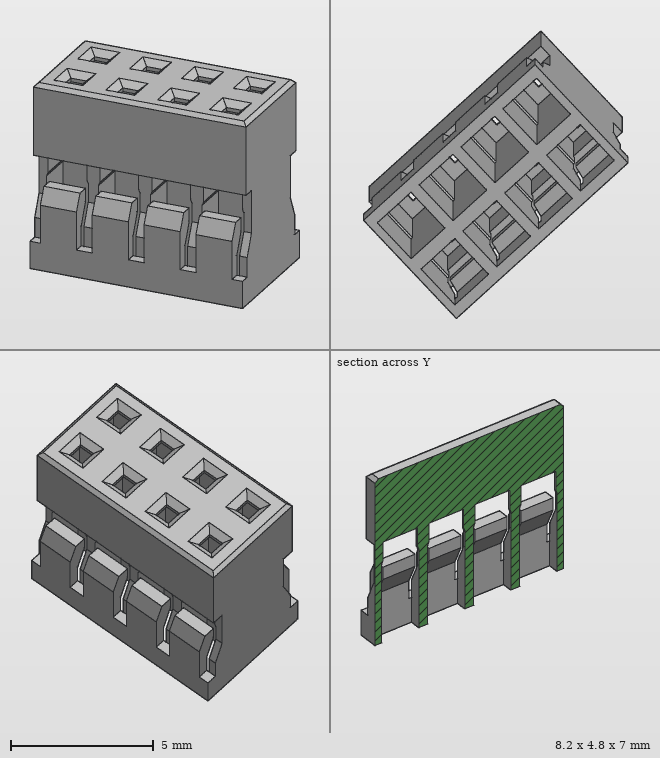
import cadquery as cq

length = 8.2
base_width = 4.8
height = 7.0

pitch = 2.0
columns = 4
rows = 2

base_height = 1.05
head_width = 4.2
head_bottom = 4.23
head_chamfer = 0.15
neck_width = 3.28
rib_width = 4.0
rib_slope_bottom = 1.8
rib_slope_top = 2.6

latch_length = 1.39
latch_slope_bottom = 2.51
latch_top = 3.12

cavity_length = 1.61
cavity_step = 0.06
cavity_step_bottom = 3.31
cavity_step_top = 3.44
cavity_roof = 6.64
cavity_head_outer = 1.57

entry_size = 0.59
entry_mouth = 1.11
entry_funnel_depth = 0.22

contact_xs = [(i - (columns - 1) / 2) * pitch for i in range(columns)]
row_ys = [(j - (rows - 1) / 2) * pitch for j in range(rows)]
sides = (-1, 1)


def extrude_along_x(points, extent):
    """Extrude a (y, z) outline along X, centred on the YZ plane."""
    return cq.Workplane("YZ").polyline(points).close().extrude(extent / 2, both=True)


def make_body():
    """Base, ribs and neck as one constant section, with the chamfered head on top."""
    half_outline = [
        (base_width / 2, 0),
        (base_width / 2, base_height),
        (rib_width / 2, base_height),
        (rib_width / 2, rib_slope_bottom),
        (neck_width / 2, rib_slope_top),
        (neck_width / 2, head_bottom),
    ]
    mirrored = [(-y, z) for y, z in reversed(half_outline)]
    lower = extrude_along_x(half_outline + mirrored, length)
    head = (
        cq.Workplane("XY", origin=(0, 0, head_bottom))
        .rect(length, head_width)
        .extrude(height - head_bottom)
        .faces(">Z")
        .chamfer(head_chamfer)
    )
    return lower.union(head)


def make_cavity(side):
    """Cavity centred on x = 0, open at the bottom and through the neck wall on one side."""
    wide = cavity_length / 2
    narrow = wide - cavity_step
    inner_y = pitch / 2 - narrow
    side_outline = [
        (inner_y, 0),
        (rib_width / 2, 0),
        (rib_width / 2, rib_slope_bottom),
        (neck_width / 2, rib_slope_top),
        (neck_width / 2, head_bottom),
        (cavity_head_outer, head_bottom),
        (cavity_head_outer, cavity_roof),
        (inner_y, cavity_roof),
    ]
    front_outline = [
        (-wide, 0),
        (wide, 0),
        (wide, cavity_step_bottom),
        (narrow, cavity_step_top),
        (narrow, cavity_roof),
        (-narrow, cavity_roof),
        (-narrow, cavity_step_top),
        (-wide, cavity_step_bottom),
    ]
    side_prism = extrude_along_x([(side * y, z) for y, z in side_outline], cavity_length)
    front_prism = cq.Workplane("XZ").polyline(front_outline).close().extrude(base_width / 2, both=True)
    return side_prism.intersect(front_prism)


def make_latch(side):
    """Latch centred on x = 0, whose inner face follows the rib outline."""
    outline = [
        (rib_width / 2, base_height),
        (base_width / 2, base_height),
        (base_width / 2, latch_slope_bottom),
        (head_width / 2, latch_top),
        (neck_width / 2, latch_top),
        (neck_width / 2, rib_slope_top),
        (rib_width / 2, rib_slope_bottom),
    ]
    return extrude_along_x([(side * y, z) for y, z in outline], latch_length)


def make_entry():
    """Square pin entry with a funnel mouth, centred on the Z axis."""
    funnel = (
        cq.Workplane("XY", origin=(0, 0, height))
        .rect(entry_mouth, entry_mouth)
        .workplane(offset=-entry_funnel_depth)
        .rect(entry_size, entry_size)
        .loft(ruled=True)
    )
    passage = (
        cq.Workplane("XY", origin=(0, 0, cavity_roof))
        .rect(entry_size, entry_size)
        .extrude(height - cavity_roof)
    )
    return funnel.union(passage)


result = make_body()

for side in sides:
    cavity = make_cavity(side)
    latch = make_latch(side)
    for x in contact_xs:
        result = result.cut(cavity.translate((x, 0, 0)))
        result = result.union(latch.translate((x, 0, 0)))

entry = make_entry()
for x in contact_xs:
    for y in row_ys:
        result = result.cut(entry.translate((x, y, 0)))